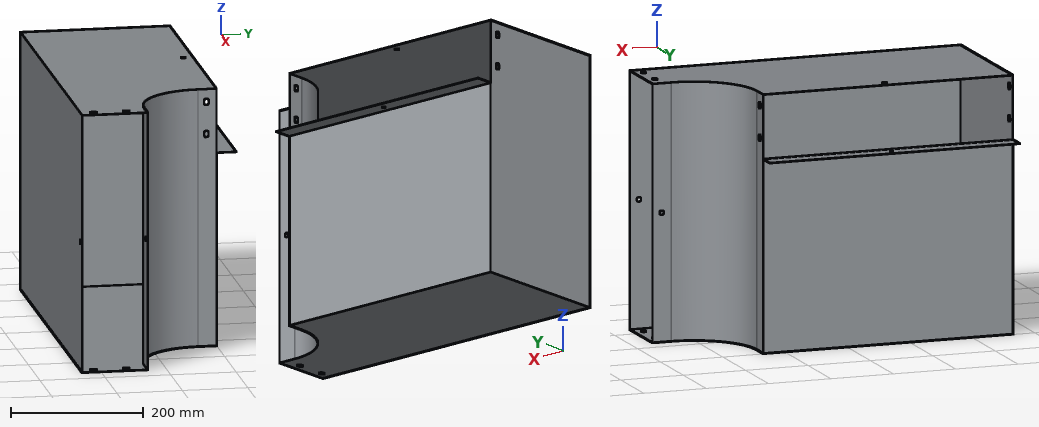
import cadquery as cq

length = 531.0
height = 400.0
overall_depth = 259.0
sheet = 1.0

inlet_width = 401.0
outlet_depth = 101.0
bend_radius = 100.0
inlet_floor = 300.5
flange_depth = 30.5
body_depth = overall_depth - flange_depth

screw_diameter = 7.0
flange_hole_diameter = 5.0
slot_length = 10.0
slot_width = 7.0
inlet_edge_distance = 15.5
outlet_edge_distance = 15.0
slot_pitch = 50.0
slot_middle_offset = 45.0
inlet_slot_middle = height - slot_middle_offset
outlet_slot_middle = slot_middle_offset
flange_hole_y = body_depth + flange_depth / 2


def profile(inset=0.0):
    """Plan outline with every side wall moved inward, ends left flush."""
    arc = bend_radius + inset
    wall_x = inlet_width - inset
    wall_y = outlet_depth - inset
    return (
        cq.Workplane("XY")
        .moveTo(inset, inset)
        .lineTo(length, inset)
        .lineTo(length, wall_y)
        .lineTo(wall_x + arc, wall_y)
        .radiusArc((wall_x, wall_y + arc), arc)
        .lineTo(wall_x, body_depth)
        .lineTo(inset, body_depth)
        .close()
    )


def make_shell():
    """Folded duct, open at the inlet and the outlet."""
    outside = profile().extrude(height)
    inside = profile(sheet).extrude(height - 2 * sheet).translate((0, 0, sheet))
    return outside.cut(inside)


def make_back_panel():
    """Panel closing the back below the inlet, with a flange turned outward."""
    panel = cq.Workplane("XY").box(inlet_width, sheet, inlet_floor, centered=False)
    flange = cq.Workplane("XY").box(inlet_width, flange_depth, sheet, centered=False)
    return panel.union(flange.translate((0, 0, inlet_floor - sheet))).translate((0, body_depth, 0))


def slot_pair_along_x(middle_z):
    """Two slots through both side walls of the inlet."""
    return (
        cq.Workplane("YZ")
        .pushPoints([(body_depth - inlet_edge_distance, middle_z + s * slot_pitch / 2) for s in (-1, 1)])
        .slot2D(slot_length, slot_width, 90)
        .extrude(length)
        .translate((-sheet, 0, 0))
    )


def slot_pair_along_z(middle_y):
    """Two slots through the top and bottom walls of the outlet."""
    return (
        cq.Workplane("XY")
        .pushPoints([(length - outlet_edge_distance, middle_y + s * slot_pitch / 2) for s in (-1, 1)])
        .slot2D(slot_length, slot_width, 90)
        .extrude(height)
    )


def vertical_hole(y, bottom, diameter):
    """Upward hole at mid width of the inlet."""
    return (
        cq.Workplane("XY", origin=(inlet_width / 2, y, bottom))
        .circle(diameter / 2)
        .extrude(height - bottom)
    )


def outlet_screw_holes():
    """Screw holes through the front wall and the short wall behind it."""
    return (
        cq.Workplane("XZ", origin=(length - outlet_edge_distance, 0, height / 2))
        .circle(screw_diameter / 2)
        .extrude(-outlet_depth)
    )


result = (
    make_shell()
    .union(make_back_panel())
    .cut(slot_pair_along_x(inlet_slot_middle))
    .cut(slot_pair_along_z(outlet_slot_middle))
    .cut(vertical_hole(body_depth - inlet_edge_distance, inlet_floor, screw_diameter))
    .cut(vertical_hole(flange_hole_y, 0, flange_hole_diameter))
    .cut(outlet_screw_holes())
)